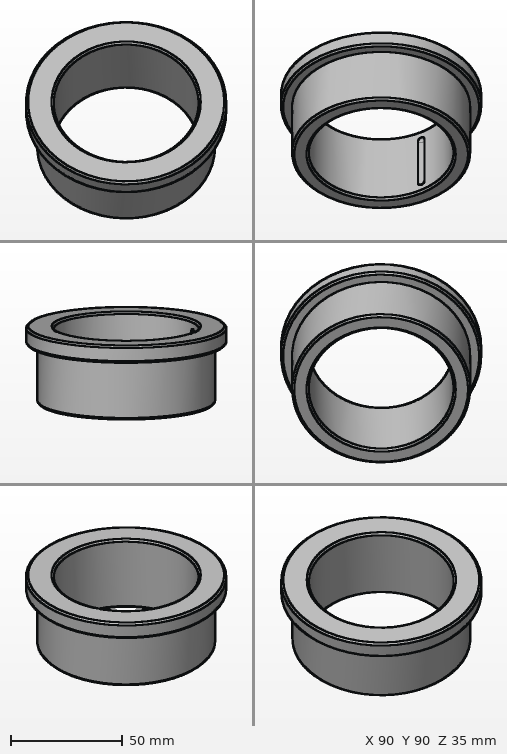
import cadquery as cq

bore_diameter = 65.0
sleeve_diameter = 80.0
flange_diameter = 90.0
total_height = 35.0
flange_thickness = 8.0
chamfer = 1.0

groove_radius = 1.75
groove_depth = 1.5
groove_end_margin = 4.0

bore_radius = bore_diameter / 2
sleeve_radius = sleeve_diameter / 2
flange_radius = flange_diameter / 2
flange_bottom = total_height - flange_thickness

groove_axis_x = bore_radius + groove_depth - groove_radius
groove_bottom = groove_end_margin
groove_length = total_height - 2 * groove_end_margin


def bush_body():
    """Sleeve, flange and bore with their chamfered rims, revolved about Z."""
    return (
        cq.Workplane("XZ")
        .moveTo(bore_radius + chamfer, 0)
        .lineTo(sleeve_radius - chamfer, 0)
        .lineTo(sleeve_radius, chamfer)
        .lineTo(sleeve_radius, flange_bottom)
        .lineTo(flange_radius - chamfer, flange_bottom)
        .lineTo(flange_radius, flange_bottom + chamfer)
        .lineTo(flange_radius, total_height - chamfer)
        .lineTo(flange_radius - chamfer, total_height)
        .lineTo(bore_radius + chamfer, total_height)
        .lineTo(bore_radius, total_height - chamfer)
        .lineTo(bore_radius, chamfer)
        .close()
        .revolve(360, (0, 0, 0), (0, 1, 0))
    )


def groove_cutter():
    """Vertical round bar with hemispherical ends, set into the bore wall."""
    straight_length = groove_length - 2 * groove_radius
    return (
        cq.Workplane("XZ", origin=(groove_axis_x, 0, groove_bottom))
        .moveTo(0, 0)
        .radiusArc((groove_radius, groove_radius), -groove_radius)
        .line(0, straight_length)
        .radiusArc((0, groove_length), -groove_radius)
        .close()
        .revolve(360, (0, 0, 0), (0, 1, 0))
    )


result = bush_body().cut(groove_cutter())